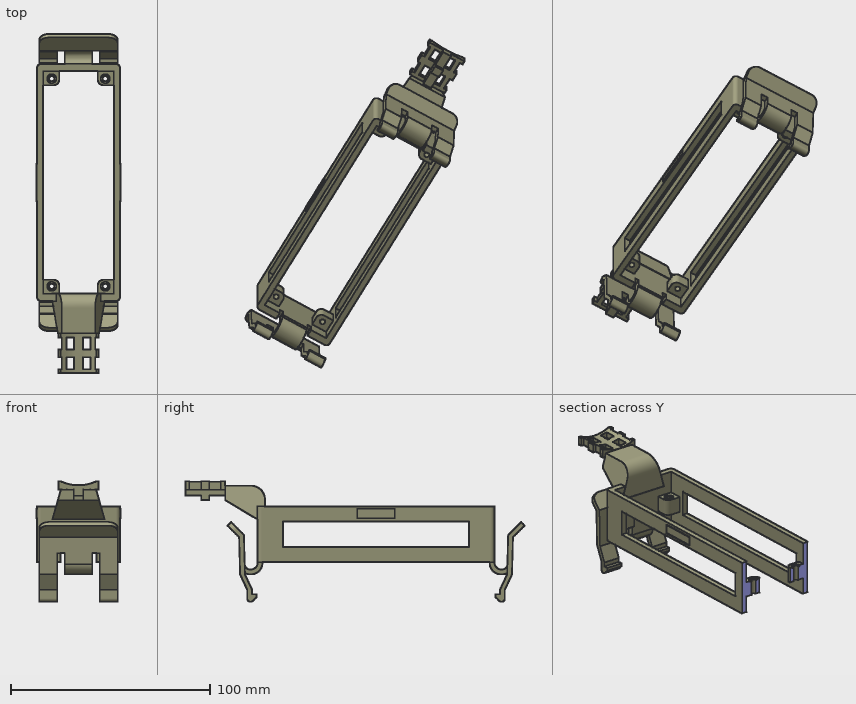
import cadquery as cq
import math


frame_width = 41.7
frame_length = 119.0
frame_height = 28.1
side_wall = 3.0
end_wall = 3.5
frame_corner_radius = 2.0
window_length = 93.1
window_bottom = 7.7
window_top = 20.5
pad_thickness = 0.43
pad_length = 18.7
pad_bottom = 22.1
pad_top = 26.7

boss_width = 8.2
boss_length = 7.2
boss_bottom = 8.5
boss_top = 16.7
boss_corner_radius = 2.9
screw_x = 13.5
screw_y = 52.1
screw_hole_diameter = 2.5
screw_recess_diameter = 4.6
screw_recess_depth = 0.5

clip_width = 39.5
clip_thickness = 2.5
clip_top_y = 66.2
clip_bottom_y = 65.7
clip_reach = 74.5
flap_bend_z = 12.6
flap_corner_radius = 4.6
leg_inner_x = 10.5
leg_bend_z = -6.1
leg_shift = 3.5
leg_foot_z = -13.8
barb_top_z = -16.0
barb_depth = 2.2
foot_radius = 1.7
clip_bottom_z = -20.0
tongue_width = 14.0
tongue_bend_radius = 5.1
root_bend_radius = 5.8
tongue_bottom_z = -6.1
slot_top_z = 4.6
wall_slot_outer_x = 9.0

neck_top_z = 38.5
neck_top_width = 16.7
neck_side_slope = 0.28
neck_corner_radius = 7.2
neck_back_y = -55.7
neck_end_y = -75.8
neck_end_bottom_z = 31.2
neck_root_z = 21.5

saddle_top_z = 40.7
saddle_bottom_z = 36.5
saddle_length = 20.0
saddle_width = 20.3
saddle_waist_width = 17.0
cradle_width = 17.9
cradle_depth = 2.0
bar_middle = 4.1
bar_end = bar_middle / 2
saddle_hole_outer_x = 6.0
web_width = 4.6
web_bottom_z = 33.4
peg_bottom_z = 31.2

half_width = frame_width / 2
half_length = frame_length / 2
inner_half_width = half_width - side_wall
inner_half_length = half_length - end_wall
clip_inner_bend_z = flap_bend_z + clip_thickness * math.tan(math.pi / 8)
tongue_plate_bottom_z = tongue_bottom_z + tongue_bend_radius


def box(x0, x1, y0, y1, z0, z1):
    """Box between two opposite corners."""
    return cq.Workplane("XY").box(x1 - x0, y1 - y0, z1 - z0, centered=False).translate((x0, y0, z0))


def side_profile(width):
    """Sketch plane whose axes are Y and Z, set for an extrusion of the given width centred on X."""
    return cq.Workplane("YZ", origin=(-width / 2, 0, 0))


def make_frame():
    frame = cq.Workplane("XY").box(frame_width, frame_length, frame_height, centered=(True, True, False))
    frame = frame.edges("|Z").fillet(frame_corner_radius)
    frame = frame.cut(box(-inner_half_width, inner_half_width, -inner_half_length, inner_half_length,
                          0, frame_height))
    frame = frame.cut(box(-half_width, half_width, -window_length / 2, window_length / 2,
                          window_bottom, window_top))
    for side in (-1, 1):
        pad = cq.Workplane("XY").box(2 * pad_thickness, pad_length, pad_top - pad_bottom)
        frame = frame.union(pad.translate((side * half_width, 0, (pad_bottom + pad_top) / 2)))
    return frame


def make_boss():
    """Boss in the +X +Y inner corner, let into both walls."""
    inner_x = inner_half_width - boss_width
    inner_y = inner_half_length - boss_length
    boss = box(inner_x, inner_half_width + side_wall / 2, inner_y, inner_half_length + end_wall / 2,
               boss_bottom, boss_top)
    boss = boss.edges("|Z and <X and <Y").fillet(boss_corner_radius)
    drill = cq.Workplane("XY", origin=(screw_x, screw_y, boss_top))
    hole = drill.circle(screw_hole_diameter / 2).extrude(boss_bottom - boss_top)
    recess = drill.circle(screw_recess_diameter / 2).extrude(-screw_recess_depth)
    return boss.cut(hole).cut(recess)


def make_clip_plate():
    """Flap, plate and barbed legs as one bent strip, cut between the legs around the flat of the tongue."""
    outer_top_y = clip_top_y + clip_thickness
    flap_rise = clip_reach - outer_top_y
    flap_offset = clip_thickness * math.sqrt(0.5)
    foot_inner_y = clip_bottom_y - leg_shift
    foot_outer_y = foot_inner_y + clip_thickness
    foot_y = foot_outer_y - foot_radius
    foot_z = clip_bottom_z + foot_radius
    diagonal = foot_radius * math.sqrt(0.5)
    barb_y = foot_inner_y - barb_depth
    barb_lower_z = foot_z - diagonal + (foot_y - diagonal - barb_y)
    strip = (
        side_profile(clip_width)
        .moveTo(clip_reach, flap_bend_z + flap_rise)
        .lineTo(outer_top_y, flap_bend_z)
        .lineTo(clip_bottom_y + clip_thickness, leg_bend_z)
        .lineTo(foot_outer_y, leg_foot_z)
        .lineTo(foot_outer_y, foot_z)
        .threePointArc((foot_y, clip_bottom_z), (foot_y - diagonal, foot_z - diagonal))
        .lineTo(barb_y, barb_lower_z)
        .lineTo(barb_y, barb_top_z)
        .lineTo(foot_inner_y, barb_top_z)
        .lineTo(foot_inner_y, leg_foot_z)
        .lineTo(clip_bottom_y, leg_bend_z)
        .lineTo(clip_top_y, clip_inner_bend_z)
        .lineTo(clip_reach - flap_offset, flap_bend_z + flap_rise + flap_offset)
        .close()
        .extrude(clip_width)
    )
    across_flap = cq.selectors.ParallelDirSelector(cq.Vector(0, 1, -1))
    strip = strip.edges(across_flap).edges(">Z").fillet(flap_corner_radius)
    gap = box(-leg_inner_x, leg_inner_x, barb_y, clip_reach, clip_bottom_z, slot_top_z)
    tongue_plate = box(-tongue_width / 2, tongue_width / 2, barb_y, clip_reach,
                       tongue_plate_bottom_z, slot_top_z)
    return strip.cut(gap.cut(tongue_plate))


def make_tongue():
    """U-shaped spring that joins the frame wall to the middle of the clip plate."""
    plate_lean = (clip_top_y - clip_bottom_y) / (clip_inner_bend_z - leg_bend_z)
    plate_inner_y = clip_bottom_y + plate_lean * (tongue_plate_bottom_z - leg_bend_z)
    plate_inner_radius = tongue_bend_radius - clip_thickness
    plate_arc_y = plate_inner_y - plate_inner_radius
    root_y = half_length - clip_thickness
    root_inner_radius = root_bend_radius - clip_thickness
    root_arc_y = root_y + root_bend_radius
    root_arc_z = tongue_bottom_z + root_bend_radius
    floor_z = tongue_bottom_z + clip_thickness

    def plate_mid(radius):
        return (plate_arc_y + radius * math.sqrt(0.5), tongue_plate_bottom_z - radius * math.sqrt(0.5))

    def root_mid(radius):
        return (root_arc_y - radius * math.sqrt(0.5), root_arc_z - radius * math.sqrt(0.5))

    return (
        side_profile(tongue_width)
        .moveTo(plate_inner_y + clip_thickness, tongue_plate_bottom_z)
        .threePointArc(plate_mid(tongue_bend_radius), (plate_arc_y, tongue_bottom_z))
        .lineTo(root_arc_y, tongue_bottom_z)
        .threePointArc(root_mid(root_bend_radius), (root_y, root_arc_z))
        .lineTo(root_y, slot_top_z)
        .lineTo(half_length, slot_top_z)
        .lineTo(half_length, root_arc_z)
        .threePointArc(root_mid(root_inner_radius), (root_arc_y, floor_z))
        .lineTo(plate_arc_y, floor_z)
        .threePointArc(plate_mid(plate_inner_radius), (plate_inner_y, tongue_plate_bottom_z))
        .close()
        .extrude(tongue_width)
    )


def make_wall_slots():
    """Pair of slots that free the tongue from the +Y end wall."""
    slot = box(tongue_width / 2, wall_slot_outer_x, inner_half_length, half_length, 0, slot_top_z)
    return slot.union(slot.mirror("YZ"))


def make_neck():
    """Arm rising from the -Y end wall: a side profile trimmed by sides that widen downwards."""
    arc_inset = neck_corner_radius * (1 - math.sqrt(0.5))
    profile = (
        side_profile(frame_width)
        .moveTo(neck_back_y, neck_root_z)
        .lineTo(neck_back_y, neck_top_z - neck_corner_radius)
        .threePointArc((neck_back_y - arc_inset, neck_top_z - arc_inset),
                       (neck_back_y - neck_corner_radius, neck_top_z))
        .lineTo(neck_end_y, neck_top_z)
        .lineTo(neck_end_y, neck_end_bottom_z)
        .lineTo(-half_length, neck_root_z)
        .close()
        .extrude(frame_width)
    )
    half_top = neck_top_width / 2
    half_bottom = half_top + neck_side_slope * (neck_top_z - neck_root_z)
    wedge = (
        cq.Workplane("XZ", origin=(0, neck_back_y, 0))
        .polyline([(-half_top, neck_top_z), (half_top, neck_top_z),
                   (half_bottom, neck_root_z), (-half_bottom, neck_root_z)])
        .close()
        .extrude(neck_back_y - neck_end_y)
    )
    return profile.intersect(wedge)


def make_saddle():
    """Cradle plate with openings and edge notches between its cross bars, a web below and a peg."""
    half = saddle_width / 2
    half_cradle = cradle_width / 2
    half_web = web_width / 2
    end_y = neck_end_y - saddle_length
    middle_y = neck_end_y - saddle_length / 2
    opening_length = (saddle_length - 2 * bar_end - bar_middle) / 2
    saddle = (
        cq.Workplane("XZ", origin=(0, neck_end_y, 0))
        .moveTo(-half, saddle_bottom_z)
        .lineTo(-half, saddle_top_z)
        .lineTo(-half_cradle, saddle_top_z)
        .threePointArc((0, saddle_top_z - cradle_depth), (half_cradle, saddle_top_z))
        .lineTo(half, saddle_top_z)
        .lineTo(half, saddle_bottom_z)
        .close()
        .extrude(saddle_length)
    )
    openings_x = (
        (-half, -saddle_waist_width / 2),
        (-saddle_hole_outer_x, -half_web),
        (half_web, saddle_hole_outer_x),
        (saddle_waist_width / 2, half),
    )
    for start_y in (end_y + bar_end, middle_y + bar_middle / 2):
        for x0, x1 in openings_x:
            saddle = saddle.cut(box(x0, x1, start_y, start_y + opening_length, saddle_bottom_z, saddle_top_z))
    saddle = saddle.union(box(-half_web, half_web, end_y, neck_end_y, web_bottom_z, saddle_bottom_z))
    peg = box(-half_web, half_web, middle_y - bar_middle / 2, middle_y + bar_middle / 2,
              peg_bottom_z, web_bottom_z)
    return saddle.union(peg)


result = make_frame()

boss = make_boss()
boss_pair = boss.union(boss.mirror("YZ"))
wall_slots = make_wall_slots()
clip = make_clip_plate().union(make_tongue())

result = result.cut(wall_slots).cut(wall_slots.mirror("XZ"))
for feature in (boss_pair, clip):
    result = result.union(feature).union(feature.mirror("XZ"))
result = result.union(make_neck()).union(make_saddle())